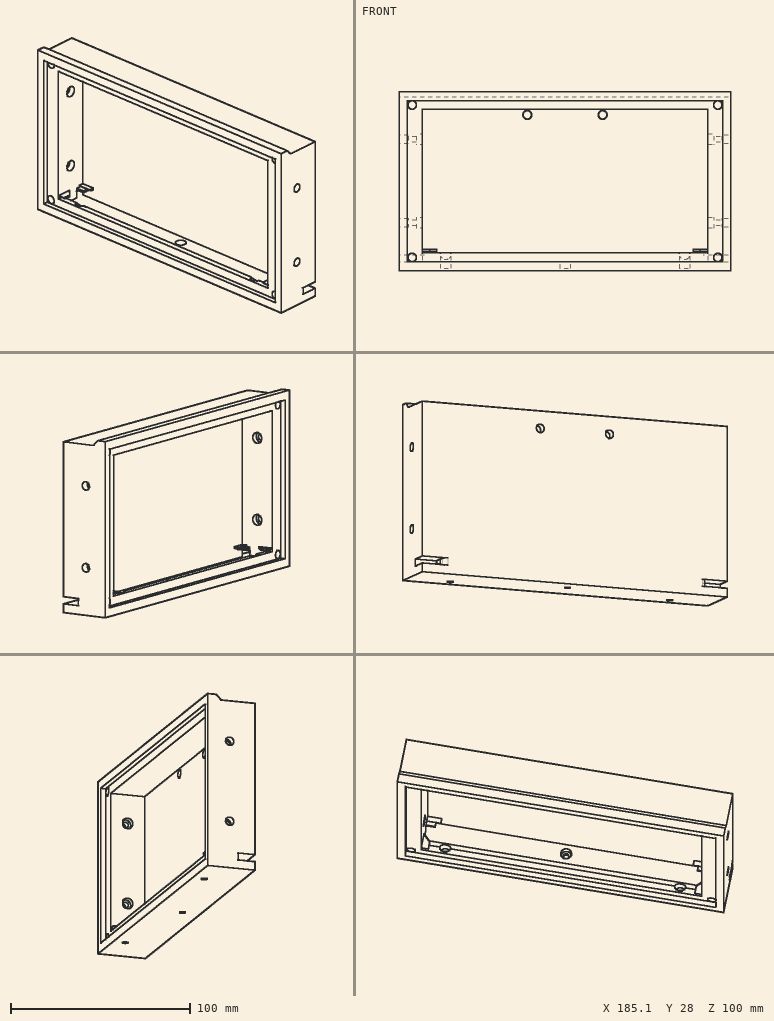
import cadquery as cq
import math

length = 185.06
depth = 28.0
height = 100.0
half_length = length / 2
front_y = -depth / 2
back_y = depth / 2

lip_thickness = 5.0
lip_rise = 3.0

recess_side_margin = 4.5
recess_end_margin = 5.0
recess_depth = 3.0

side_thickness = 13.0
sill_height = 10.0
floor_thickness = 5.0
back_thickness = 5.0
sill_depth = 6.5
chamber_width = length - 2 * side_thickness
half_chamber = chamber_width / 2
chamber_back_y = back_y - back_thickness
sill_y = front_y + sill_depth

insert_diameter = 4.7
insert_depth = 5.0
corner_hole_inset_x = 7.3
corner_hole_inset_z = 7.5
back_hole_height = 87.0
back_hole_spacing = 42.0

screw_diameter = 3.2
head_diameter = 6.0
head_depth = 3.5
side_hole_heights = (27.0, 73.5)
side_hole_y = front_y + 13.0
middle_floor_hole_y = front_y + 17.5
outer_floor_hole_y = front_y + 7.0
outer_floor_hole_x = 66.6

slot_height = 4.0
slot_reach = 10.0
slot_round = 2.4

tab_top = sill_height + 2.0
tab_thickness = 1.0
front_tab_width = 4.0
front_tab_near_y = front_y + 3.2
front_tab_far_y = front_y + 12.0
back_tab_width = 8.0
back_tab_depth = 3.0
step_tab_width = 5.2
step_tab_depth = 5.0


def box(width, y0, y1, z0, z1):
    """Block centred on X = 0."""
    return cq.Workplane("XY").box(width, y1 - y0, z1 - z0, centered=False).translate((-width / 2, y0, z0))


def prism(points, width):
    """Y-Z outline extruded evenly to both sides of X = 0."""
    return cq.Workplane("YZ").polyline(points).close().extrude(width / 2, both=True)


def cylinder(diameter, start, direction, reach):
    solid = cq.Solid.makeCylinder(diameter / 2, reach, cq.Vector(*start), cq.Vector(*direction))
    return cq.Workplane(solid)


def both_sides(shape):
    return shape.union(shape.mirror("YZ"))


def make_body():
    outline = [
        (front_y, 0),
        (back_y, 0),
        (back_y, height - lip_rise),
        (front_y + lip_thickness + lip_rise, height - lip_rise),
        (front_y + lip_thickness, height),
        (front_y, height),
    ]
    return prism(outline, length)


def make_cavity():
    recess_width = length - 2 * recess_side_margin
    recess_back_y = front_y + recess_depth
    recess = box(recess_width, front_y, recess_back_y, recess_end_margin, height - recess_end_margin)
    chamber_outline = [
        (front_y, sill_height),
        (sill_y, sill_height),
        (sill_y + sill_height - floor_thickness, floor_thickness),
        (chamber_back_y, floor_thickness),
        (chamber_back_y, height - sill_height),
        (front_y, height - sill_height),
    ]
    return recess.union(prism(chamber_outline, chamber_width))


def make_corner_holes():
    x = half_length - corner_hole_inset_x
    reach = recess_depth + insert_depth
    low = cylinder(insert_diameter, (x, front_y, corner_hole_inset_z), (0, 1, 0), reach)
    high = cylinder(insert_diameter, (x, front_y, height - corner_hole_inset_z), (0, 1, 0), reach)
    return both_sides(low.union(high))


def make_back_holes():
    start = (back_hole_spacing / 2, back_y, back_hole_height)
    return both_sides(cylinder(insert_diameter, start, (0, -1, 0), back_thickness))


def make_side_hole(z):
    """Through hole with an insert bore outside and a head bore inside."""
    outside = (half_length, side_hole_y, z)
    inside = (half_chamber, side_hole_y, z)
    hole = cylinder(screw_diameter, outside, (-1, 0, 0), side_thickness)
    hole = hole.union(cylinder(insert_diameter, outside, (-1, 0, 0), insert_depth))
    hole = hole.union(cylinder(head_diameter, inside, (1, 0, 0), head_depth))
    return both_sides(hole)


def make_floor_hole(x, y):
    """Vertical screw hole whose head bore is open up to the sill."""
    seat = floor_thickness - head_depth
    hole = cylinder(screw_diameter, (x, y, 0), (0, 0, 1), floor_thickness)
    return hole.union(cylinder(head_diameter, (x, y, seat), (0, 0, 1), sill_height - seat))


def make_slots():
    """Corner slots; the edge of the back wall at their inner end is rounded."""
    inner_x = half_chamber
    bend = slot_round * math.sin(math.pi / 4)
    slot = (
        cq.Workplane("XY", origin=(0, 0, floor_thickness))
        .moveTo(half_length, back_y - slot_reach)
        .lineTo(inner_x, back_y - slot_reach)
        .lineTo(inner_x, back_y - slot_round)
        .threePointArc(
            (inner_x - slot_round + bend, back_y - slot_round + bend),
            (inner_x - slot_round, back_y),
        )
        .lineTo(half_length, back_y)
        .close()
        .extrude(slot_height)
    )
    return both_sides(slot)


def bevelled_tab(width, near_y, far_y):
    """Thin tab on the side wall, its front edge undercut at 45 degrees."""
    outline = [
        (near_y, tab_top),
        (far_y, tab_top),
        (far_y, tab_top - tab_thickness),
        (near_y + tab_thickness, tab_top - tab_thickness),
    ]
    return prism(outline, width).translate((half_chamber - width / 2, 0, 0))


def make_tabs():
    front_tab = bevelled_tab(front_tab_width, front_tab_near_y, front_tab_far_y)
    corner = (
        cq.Workplane("XY", origin=(0, 0, tab_top - tab_thickness))
        .moveTo(half_chamber, front_tab_far_y)
        .lineTo(half_chamber - front_tab_width, front_tab_far_y)
        .lineTo(half_chamber - front_tab_width, front_tab_far_y - front_tab_width)
        .close()
        .extrude(tab_thickness)
    )
    back_tab = bevelled_tab(back_tab_width, chamber_back_y - back_tab_depth, chamber_back_y)
    step_top = tab_top - tab_thickness
    step_y = chamber_back_y - step_tab_depth
    step = box(step_tab_width, step_y, chamber_back_y, step_top - tab_thickness, step_top)
    step = step.translate((half_chamber - step_tab_width / 2, 0, 0))
    return both_sides(front_tab.cut(corner).union(back_tab).union(step))


result = make_body().cut(make_cavity())
result = result.cut(make_corner_holes()).cut(make_back_holes()).cut(make_slots())
for hole_height in side_hole_heights:
    result = result.cut(make_side_hole(hole_height))
result = result.cut(make_floor_hole(0, middle_floor_hole_y))
for hole_x in (-outer_floor_hole_x, outer_floor_hole_x):
    result = result.cut(make_floor_hole(hole_x, outer_floor_hole_y))
result = result.union(make_tabs())